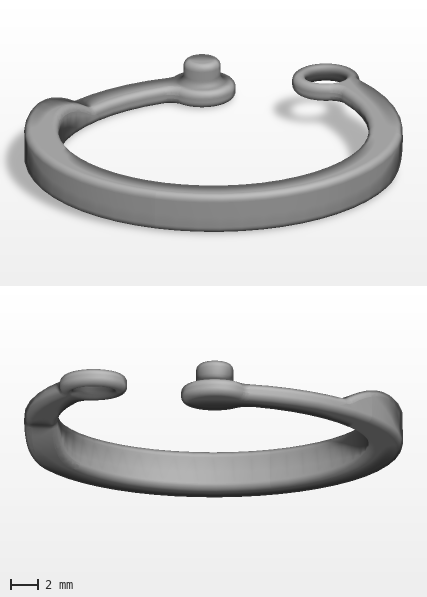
import cadquery as cq
import math

outer_radius = 13.99
inner_radius = 11.47
height = 3.0
arm_thickness = 1.3
edge_radius = 0.5

lug_radius = 2.5
lug_x = 4.8
lug_y = 28.6 - outer_radius - lug_radius
neck_radius = 1.0

outer_leave_angle = 168
inner_leave_angle = 170
outer_arm_end = (-6.44, 12.93)
inner_arm_end = (-5.85, 10.47)

ramp_direction = 238
ramp_foot = 2.05
ramp_length = 5.83
ramp_drop = height - arm_thickness
ramp_radius = (ramp_length**2 + ramp_drop**2) / (2 * ramp_drop)
ramp_foot_radius = 1.0

margin = 0.03

pin_diameter = 2.75
hole_diameter = 3.0
hole_edge_radius = 0.5


def polar(radius, angle):
    a = math.radians(angle)
    return (radius * math.cos(a), radius * math.sin(a))


def ring_half():
    """Full-height left half of the ring, with its arm running into the lug."""
    outline = (
        cq.Workplane("XY")
        .moveTo(0, -outer_radius)
        .threePointArc((-outer_radius, 0), polar(outer_radius, outer_leave_angle))
        .tangentArcPoint(outer_arm_end, relative=False)
        .lineTo(*inner_arm_end)
    )
    start = polar(inner_radius, inner_leave_angle)
    heading = polar(1, inner_leave_angle - 90)
    arm_arc = cq.Edge.makeTangentArc(cq.Vector(*start), cq.Vector(*heading), cq.Vector(*inner_arm_end))
    middle = arm_arc.positionAt(0.5).toTuple()[:2]
    outline = (
        outline.threePointArc(middle, start)
        .threePointArc((-inner_radius, 0), (0, -inner_radius))
        .close()
    )
    lug = cq.Workplane("XY").center(-lug_x, lug_y).circle(lug_radius).extrude(height)
    return outline.extrude(height).union(lug)


def ramp_cutter():
    """Everything above the arm and the ramp, on the lug side of the ramp."""
    reach = 2 * outer_radius
    crest = ramp_foot + ramp_length
    half_sweep = math.asin(ramp_length / ramp_radius) / 2
    arc_middle = (
        crest - ramp_radius * math.sin(half_sweep),
        height - ramp_radius * (1 - math.cos(half_sweep)),
    )
    return (
        cq.Workplane("XZ")
        .moveTo(-reach, arm_thickness)
        .lineTo(ramp_foot, arm_thickness)
        .threePointArc(arc_middle, (crest, height))
        .lineTo(crest, 2 * height)
        .lineTo(-reach, 2 * height)
        .close()
        .extrude(reach, both=True)
        .rotate((0, 0, 0), (0, 0, 1), ramp_direction)
    )


def clip_half():
    """Left half with the neck and ramp foot rounded."""
    half = ring_half().cut(ramp_cutter())
    neck_box = cq.selectors.BoxSelector(
        (-lug_x - lug_radius - margin, lug_y - lug_radius - margin, -margin),
        (-lug_x + lug_radius, lug_y + lug_radius, height),
    )
    half = half.edges("|Z").edges(neck_box).fillet(neck_radius)
    foot_box = cq.selectors.BoxSelector(
        (-outer_radius, 0, arm_thickness - margin),
        (0, lug_y, arm_thickness + margin),
    )
    return half.edges("%LINE").edges(foot_box).fillet(ramp_foot_radius)


def clip_body():
    """The right half is the left one turned over about the Y direction."""
    upper_rim = cq.selectors.BoxSelector(
        (-2 * outer_radius, -2 * outer_radius, arm_thickness - margin),
        (0, 2 * outer_radius, height + margin),
    )
    left = clip_half()
    left = left.edges("not %LINE").edges(upper_rim).fillet(edge_radius)
    left = left.faces("<Z").edges("not %LINE").fillet(edge_radius)
    right = left.rotate((0, 0, height / 2), (0, 1, height / 2), 180)
    return left.union(right, clean=False)


def pin():
    """Pin with a rounded tip and a flared root."""
    r = pin_diameter / 2
    bend = edge_radius * (1 - math.sqrt(0.5))
    return (
        cq.Workplane("XZ")
        .lineTo(r + edge_radius, 0)
        .lineTo(r + edge_radius, arm_thickness)
        .threePointArc((r + bend, arm_thickness + bend), (r, arm_thickness + edge_radius))
        .lineTo(r, height - edge_radius)
        .threePointArc((r - bend, height - bend), (r - edge_radius, height))
        .lineTo(0, height)
        .close()
        .revolve(360, (0, 0), (0, 1))
        .translate((-lug_x, lug_y, 0))
    )


def hole_cutter():
    """Through hole whose two rims are rounded."""
    r = hole_diameter / 2
    bend = hole_edge_radius * (1 - math.sqrt(0.5))
    bottom = height - arm_thickness
    wide = r + hole_edge_radius
    return (
        cq.Workplane("XZ")
        .moveTo(0, bottom)
        .lineTo(wide, bottom)
        .threePointArc((r + bend, bottom + bend), (r, bottom + hole_edge_radius))
        .lineTo(r, height - hole_edge_radius)
        .threePointArc((r + bend, height - bend), (wide, height))
        .lineTo(0, height)
        .close()
        .revolve(360, (0, 0), (0, 1))
        .translate((lug_x, lug_y, 0))
    )


result = clip_body().cut(hole_cutter(), clean=False).union(pin(), clean=False)